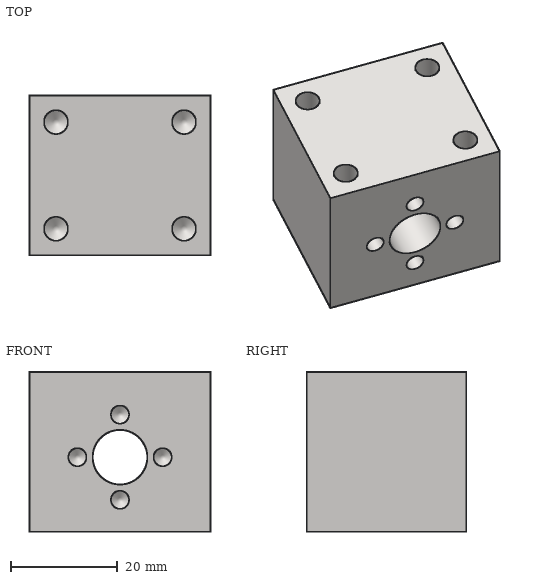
import cadquery as cq
import math

LENGTH = 34.0
WIDTH = 30.0
HEIGHT = 30.0

BORE_DIAMETER = 10.2
BORE_DROP = 1.0

FACE_HOLE_DIAMETER = 3.4
FACE_HOLE_DEPTH = 10.0
FACE_HOLE_CIRCLE_RADIUS = 8.0
FACE_HOLE_COUNT = 4

TOP_HOLE_DIAMETER = 4.5
TOP_HOLE_DEPTH = 12.0
TOP_HOLE_SPACING_X = 24.0
TOP_HOLE_SPACING_Y = 20.0

DRILL_POINT_ANGLE = 118.0


def drilled_hole(diameter, depth):
    """Blind hole going down from the origin; depth is to the start of its conical bottom."""
    radius = diameter / 2
    point_height = radius / math.tan(math.radians(DRILL_POINT_ANGLE / 2))
    return (
        cq.Workplane("XZ")
        .polyline([(0, 0), (radius, 0), (radius, -depth), (0, -depth - point_height)])
        .close()
        .revolve(360, (0, 0), (0, 1))
    )


block = cq.Workplane("XY").box(LENGTH, WIDTH, HEIGHT)

bore = (
    cq.Workplane("XZ")
    .center(0, -BORE_DROP)
    .circle(BORE_DIAMETER / 2)
    .extrude(WIDTH / 2, both=True)
)
result = block.cut(bore)

face_hole = drilled_hole(FACE_HOLE_DIAMETER, FACE_HOLE_DEPTH).rotate((0, 0, 0), (1, 0, 0), 90)
for index in range(FACE_HOLE_COUNT):
    angle = 2 * math.pi * index / FACE_HOLE_COUNT
    x = FACE_HOLE_CIRCLE_RADIUS * math.cos(angle)
    z = FACE_HOLE_CIRCLE_RADIUS * math.sin(angle) - BORE_DROP
    result = result.cut(face_hole.translate((x, -WIDTH / 2, z)))

top_hole = drilled_hole(TOP_HOLE_DIAMETER, TOP_HOLE_DEPTH)
for side_x in (-1, 1):
    for side_y in (-1, 1):
        x = side_x * TOP_HOLE_SPACING_X / 2
        y = side_y * TOP_HOLE_SPACING_Y / 2
        result = result.cut(top_hole.translate((x, y, HEIGHT / 2)))